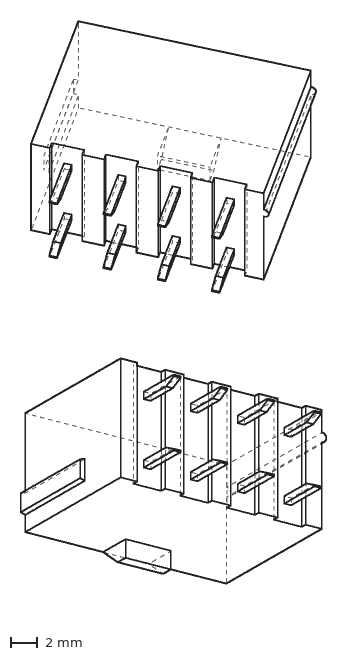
import cadquery as cq

total_width = 18.8
side_rib_height = 0.4
body_depth = 12.8
body_height = 9.59

pin_columns = 4
column_pitch = 4.2
groove_width = 2.5
groove_depth = 0.5

pin_size = 0.6
pin_projection = 3.5
pin_tip_length = 1.03
pin_tip_thickness = 0.13
row_pitch = 5.5
lower_row_height = 1.82

key_rib_length = 7.99
key_rib_width = 1.79
key_rib_slope = 0.13
key_rib_center_height = 2.27

round_rib_drop = 2.2

latch_width = 4.06
latch_length = 3.03
latch_flat_length = 1.05
latch_height = 1.5

body_width = total_width - 2 * side_rib_height
half_width = body_width / 2
column_positions = [(i - (pin_columns - 1) / 2) * column_pitch for i in range(pin_columns)]
upper_row_height = lower_row_height + row_pitch


def make_body():
    """Block with one vertical groove in its front face for each column of pins."""
    body = cq.Workplane("XY").box(body_width, body_depth, body_height, centered=(True, False, False))
    for x in column_positions:
        groove = (
            cq.Workplane("XY")
            .box(groove_width, groove_depth, body_height, centered=(True, False, False))
            .translate((x, 0, 0))
        )
        body = body.cut(groove)
    return body


def make_pin(x, axis_height, outward):
    """Square pin with one sloped tip face; outward (+1 or -1) is the Z side that stays straight."""
    straight_z = axis_height + outward * pin_size / 2
    sloped_z = axis_height - outward * pin_size / 2
    tip_z = straight_z - outward * pin_tip_thickness
    return (
        cq.Workplane("YZ", origin=(x, 0, 0))
        .polyline([
            (groove_depth, straight_z),
            (-pin_projection, straight_z),
            (-pin_projection, tip_z),
            (pin_tip_length - pin_projection, sloped_z),
            (groove_depth, sloped_z),
        ])
        .close()
        .extrude(pin_size / 2, both=True)
    )


def make_key_rib():
    """Tapered rib on the -X side, running forward from the back face."""
    base_half = key_rib_width / 2
    crest_half = base_half - key_rib_slope
    crest_x = -half_width - side_rib_height
    return (
        cq.Workplane("XZ", origin=(0, body_depth, key_rib_center_height))
        .polyline([
            (-half_width, -base_half),
            (crest_x, -crest_half),
            (crest_x, crest_half),
            (-half_width, base_half),
        ])
        .close()
        .extrude(key_rib_length)
    )


def make_round_rib():
    """Half-round rib along the full depth of the +X side."""
    return (
        cq.Workplane("XZ", origin=(half_width, body_depth, body_height - round_rib_drop))
        .moveTo(0, -side_rib_height)
        .threePointArc((side_rib_height, 0), (0, side_rib_height))
        .close()
        .extrude(body_depth)
    )


def make_latch():
    """Catch under the body, ramped down from the lower back edge."""
    latch_front = body_depth - latch_length
    return (
        cq.Workplane("YZ")
        .polyline([
            (body_depth, 0),
            (latch_front, 0),
            (latch_front, -latch_height),
            (latch_front + latch_flat_length, -latch_height),
        ])
        .close()
        .extrude(latch_width / 2, both=True)
    )


result = make_body().union(make_key_rib()).union(make_round_rib()).union(make_latch())
for column_x in column_positions:
    result = result.union(make_pin(column_x, upper_row_height, 1))
    result = result.union(make_pin(column_x, lower_row_height, -1))